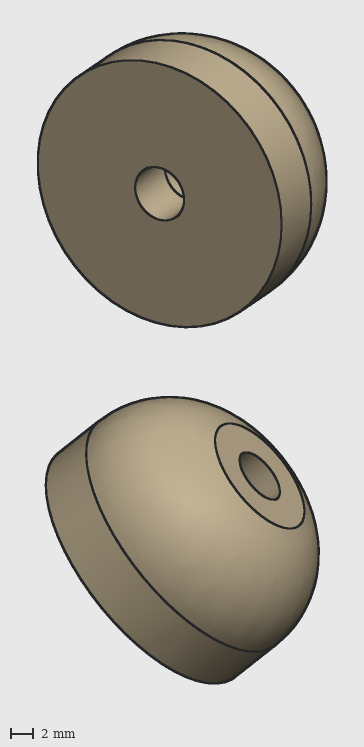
import cadquery as cq
import math

outer_diameter = 25.0
bore_diameter = 5.0
base_thickness = 5.0
total_height = 14.0
dome_arc_radius = 9.3

outer_radius = outer_diameter / 2
bore_radius = bore_diameter / 2
dome_height = total_height - base_thickness

arc_center_radius = outer_radius - dome_arc_radius


def arc_point(angle):
    """Y position and radius on the dome arc, with the angle measured from its base."""
    return (
        base_thickness + dome_arc_radius * math.sin(angle),
        arc_center_radius + dome_arc_radius * math.cos(angle),
    )


def make_base():
    """Flat disc with a through bore, its front face at Y = 0."""
    return (
        cq.Workplane("XZ")
        .circle(outer_radius)
        .circle(bore_radius)
        .extrude(-base_thickness)
    )


def make_dome():
    """Bored dome with a flat top, seated on the back face of the base."""
    top_angle = math.asin(dome_height / dome_arc_radius)
    return (
        cq.Workplane("YZ")
        .moveTo(base_thickness, bore_radius)
        .lineTo(base_thickness, outer_radius)
        .threePointArc(arc_point(top_angle / 2), arc_point(top_angle))
        .lineTo(total_height, bore_radius)
        .close()
        .revolve(360, (0, 0, 0), (1, 0, 0))
    )


base = make_base()
dome = make_dome()

result = cq.Compound.makeCompound([base.val(), dome.val()])